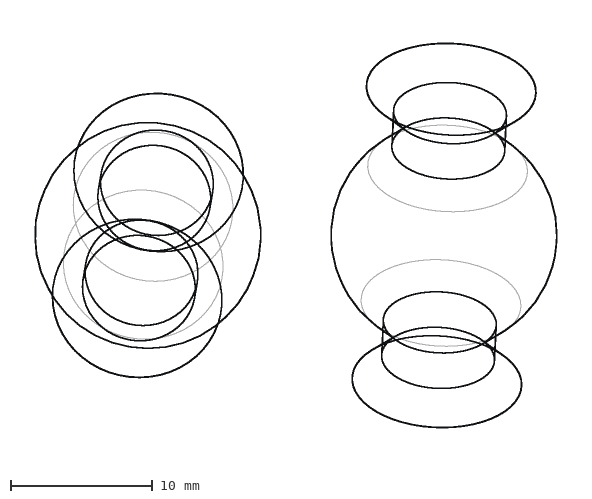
import cadquery as cq
import math

overall_height = 25.87
ball_radius = 8.0
neck_diameter = 8.0
end_disc_radius = 6.0
axis_direction = cq.Vector(1, -1, math.sqrt(2))

slope = math.sqrt(0.5)
neck_radius = neck_diameter / 2
half_length = overall_height / 2 / slope - end_disc_radius
flare_start = half_length - (end_disc_radius - neck_radius)
tangent_offset = ball_radius * slope
shoulder_end = 2 * tangent_offset - neck_radius

across_axis = cq.Vector(1, 1, 0)
profile_plane = cq.Plane(origin=(0, 0, 0), xDir=across_axis, normal=across_axis.cross(axis_direction))

profile = (
    cq.Workplane(profile_plane)
    .moveTo(0, -half_length)
    .lineTo(end_disc_radius, -half_length)
    .lineTo(neck_radius, -flare_start)
    .lineTo(neck_radius, -shoulder_end)
    .lineTo(tangent_offset, -tangent_offset)
    .threePointArc((ball_radius, 0), (tangent_offset, tangent_offset))
    .lineTo(neck_radius, shoulder_end)
    .lineTo(neck_radius, flare_start)
    .lineTo(end_disc_radius, half_length)
    .lineTo(0, half_length)
    .close()
)

result = profile.revolve(360, (0, 0), (0, 1))